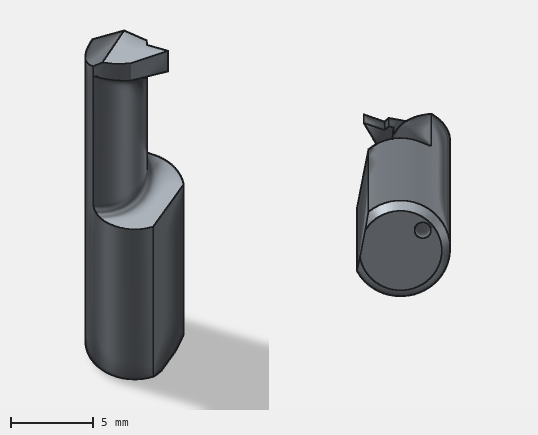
import cadquery as cq
import math

total_length = 30.0
shank_radius = 3.0
shank_length = 15.1
flat_x = 2.35
end_chamfer = 0.5

neck_center_x = -2.4
neck_radius = 2.85
neck_fillet = 0.72

head_height = 2.0
tip_x = 2.28
tip_y = 0.05
facet_end = (0.75, -1.77)
back_mid = (-0.18, -2.3)
notch_top_x = 0.75
notch_bottom = (0.95, -0.15)
top_relief_drop = 0.2
bottom_relief_rise = 0.27
bevel_height = 2.2

rake_y = 0.12
runout_low_z = 23.1
runout_high_z = 26.13
neck_half_depth = 2.7
runout_fillet = 1.38

hole_x = -1.08
hole_y = 1.5
hole_diameter = 1.0

neck_corner_x = (shank_radius**2 - neck_radius**2 + neck_center_x**2) / (2 * neck_center_x)
neck_corner_y = math.sqrt(shank_radius**2 - neck_corner_x**2)


def make_shank():
    """Round shank, chamfered at the end, with one full-length flat."""
    shank = cq.Workplane("XY").circle(shank_radius).extrude(shank_length)
    shank = shank.faces("<Z").chamfer(end_chamfer)
    flat_limit = cq.Workplane("XY").box(
        shank_radius + flat_x, 2 * shank_radius, total_length, centered=(False, True, False)
    )
    return shank.intersect(flat_limit.translate((-shank_radius, 0, 0)))


def make_neck():
    """Lens-shaped neck that flares into the shank through a concave fillet."""
    flare_top_z = shank_length + neck_fillet
    flare_radius = neck_radius + neck_fillet
    arc_offset = neck_fillet * (1 - math.sqrt(0.5))
    trim = (
        cq.Workplane("XZ")
        .lineTo(flare_radius, 0)
        .lineTo(flare_radius, shank_length)
        .threePointArc(
            (neck_radius + arc_offset, shank_length + arc_offset), (neck_radius, flare_top_z)
        )
        .lineTo(neck_radius, total_length)
        .lineTo(0, total_length)
        .close()
        .revolve(360, (0, 0, 0), (0, 1, 0))
        .translate((neck_center_x, 0, 0))
    )
    bar_length = total_length - shank_length
    bar = cq.Workplane("XY").workplane(offset=shank_length).circle(shank_radius).extrude(bar_length)
    return bar.intersect(trim)


def make_tooth():
    """Side tooth with a flat side facet and a tapered underside."""
    base_z = total_length - head_height
    tooth = (
        cq.Workplane("XY")
        .workplane(offset=base_z)
        .moveTo(neck_center_x, rake_y)
        .lineTo(notch_top_x, rake_y)
        .lineTo(*notch_bottom)
        .lineTo(tip_x, tip_y)
        .lineTo(*facet_end)
        .threePointArc(back_mid, (neck_corner_x, -neck_corner_y))
        .lineTo(neck_center_x, 0)
        .close()
        .extrude(head_height)
    )
    underside = (
        cq.Workplane("YZ")
        .moveTo(rake_y, base_z)
        .lineTo(-neck_half_depth, base_z + bottom_relief_rise)
        .lineTo(-neck_half_depth, base_z)
        .close()
        .extrude(shank_radius, both=True)
    )
    return tooth.cut(underside)


def make_rake_cut():
    """Space in front of the rake face, ending in a filleted slope."""
    slope = (runout_high_z - runout_low_z) / (neck_half_depth - rake_y)
    outer_y = shank_radius + 0.3
    outer_z = runout_high_z - slope * (outer_y - rake_y)
    return (
        cq.Workplane("YZ")
        .moveTo(rake_y, runout_high_z)
        .lineTo(outer_y, outer_z)
        .lineTo(outer_y, total_length)
        .lineTo(rake_y, total_length)
        .close()
        .extrude(shank_radius, both=True)
        .edges(cq.selectors.NearestToPointSelector((0, rake_y, runout_high_z)))
        .fillet(runout_fillet)
    )


def make_top_cut():
    """Top clearance and 45 degree back bevel, both falling away from the rake face."""
    relief_run = rake_y + neck_half_depth
    top_plane = cq.Plane(
        origin=(0, rake_y, total_length),
        xDir=(1, 0, 0),
        normal=(0, -relief_run, -top_relief_drop),
    )
    return (
        cq.Workplane(top_plane)
        .moveTo(-shank_radius, -bevel_height)
        .lineTo(-shank_radius + bevel_height, 0)
        .lineTo(shank_radius, 0)
        .lineTo(shank_radius, bevel_height)
        .lineTo(-shank_radius, bevel_height)
        .close()
        .extrude(2 * shank_radius)
    )


coolant_hole = (
    cq.Workplane("XY").center(hole_x, hole_y).circle(hole_diameter / 2).extrude(total_length)
)

result = make_shank().union(make_neck()).union(make_tooth())
result = result.cut(make_rake_cut()).cut(make_top_cut())
result = result.cut(coolant_hole)